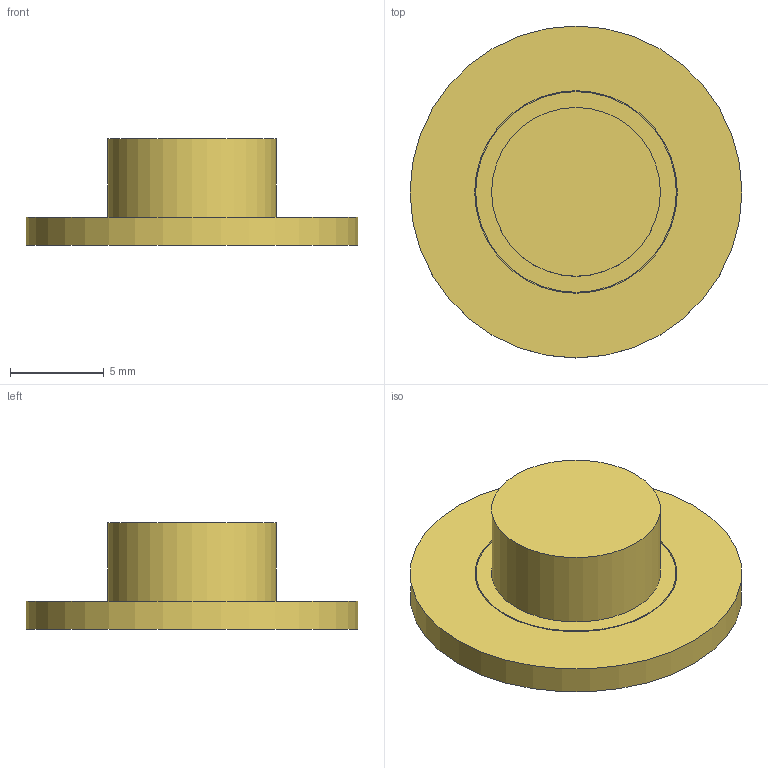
import cadquery as cq

disc_diameter = 17.7
disc_thickness = 1.5
pocket_diameter = 10.8
pocket_floor = 0.5
pocket_depth = disc_thickness - pocket_floor

flange_clearance = 0.1
flange_diameter = pocket_diameter - flange_clearance
flange_thickness = pocket_depth
stem_diameter = 9.0
overall_height = 5.7
stem_height = overall_height - disc_thickness


def make_disc():
    """Flat disc resting on Z = 0, with a blind pocket for the button."""
    blank = cq.Workplane("XY").circle(disc_diameter / 2).extrude(disc_thickness)
    return blank.faces(">Z").workplane().circle(pocket_diameter / 2).cutBlind(-pocket_depth)


def make_button():
    """Round stem on a flange whose top is flush with the top of the disc."""
    seat = cq.Workplane("XY").workplane(offset=pocket_floor)
    flange = seat.circle(flange_diameter / 2).extrude(flange_thickness)
    return flange.faces(">Z").workplane().circle(stem_diameter / 2).extrude(stem_height)


disc = make_disc()
button = make_button()

result = cq.Compound.makeCompound([disc.val(), button.val()])